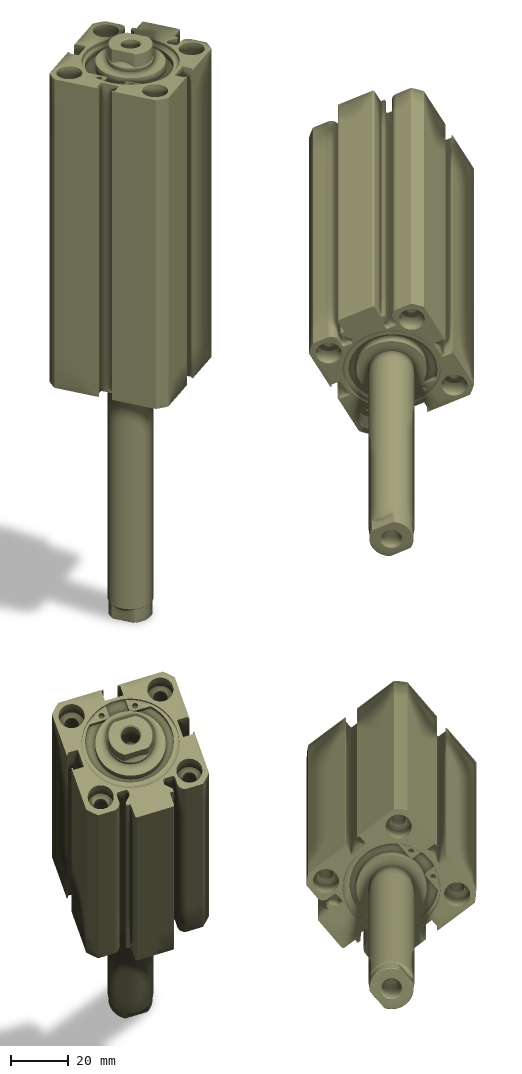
import cadquery as cq
import math


total_length = 227.0
housing_length = 123.0
upper_rod_projection = 7.0
lower_rod_projection = total_length - housing_length - upper_rod_projection

housing_width = 45.0
half_width = housing_width / 2
corner_radius = 29.5
bore_radius = 17.0

slot_floor = 18.2
slot_width = 6.8
slot_mouth = 5.2
slot_lip = 0.5

rail_height = 27.5
rail_width = 14.3
rail_corner_radius = 0.7
hook_width = 17.3
hook_top = 22.0
hook_edge = 1.1
neck_width = 12.7
notch_floor = 16.3
notch_span = 21.3
ear_radius = 2.7
notch_corner_radius = 1.0
selection_margin = 0.2

bolt_spacing = 32.5
bolt_hole_diameter = 5.0
counterbore_diameter = 9.0
counterbore_depth = 7.0

ring_inset = 1.1
ring_thickness = 2.0
ring_radius = 18.0
ring_opening_radius = 15.5
ring_opening_offset = 1.1
ring_gap = 7.3
lug_top = 11.8
lug_half_span = 11.4
lug_clearance_radius = 12.5
lug_hole_spacing = 12.3
lug_hole_drop = 13.6
lug_hole_diameter = 2.0

collar_radius = 12.3
cover_thickness = 13.6

rod_radius = 8.0
rod_end_radius = 7.7
rod_end_length = 5.7
rod_flat_width = 13.0
rod_tip_chamfer = 0.2
shoulder_angle = 45.0
rod_hole_radius = 3.5
rod_hole_mouth_radius = 3.9
rod_hole_depth = 13.6
drill_point_angle = 118.0


def mirrored_to_bottom(body):
    """The matching body at the lower end of the housing."""
    return body.mirror("XY", (0, 0, housing_length / 2))


def cylinder(radius, bottom, top):
    return cq.Workplane("XY").workplane(offset=bottom).circle(radius).extrude(top - bottom)


def make_slot():
    """T-slot tool in the +X side."""
    throat_depth = half_width - slot_lip - slot_floor
    throat = (
        cq.Workplane("XY")
        .center(slot_floor + throat_depth / 2, 0)
        .rect(throat_depth, slot_width)
        .extrude(housing_length)
    )
    mouth_depth = half_width - slot_floor
    mouth = (
        cq.Workplane("XY")
        .center(slot_floor + mouth_depth / 2, 0)
        .rect(mouth_depth, slot_mouth)
        .extrude(housing_length)
    )
    return throat.union(mouth)


def make_rail():
    neck_top = hook_top - hook_edge - (hook_width - neck_width) / 2
    right_side = [
        (neck_width / 2, notch_floor),
        (neck_width / 2, neck_top),
        (hook_width / 2, hook_top - hook_edge),
        (hook_width / 2, hook_top),
        (rail_width / 2, hook_top),
        (rail_width / 2, rail_height),
    ]
    left_side = [(-x, y) for x, y in reversed(right_side)]
    rail = (
        cq.Workplane("XY")
        .polyline(right_side + left_side)
        .close()
        .extrude(housing_length)
    )
    return rail.faces(">Y").edges("|Z").fillet(rail_corner_radius)


def upright_edges_at(y):
    """Selector for the edges along Z of the notched side that lie at the given Y."""
    reach_x = notch_span / 2 + selection_margin
    return cq.selectors.BoxSelector(
        (-reach_x, y - selection_margin, housing_length / 4),
        (reach_x, y + selection_margin, 3 * housing_length / 4),
    )


def make_housing():
    body = cq.Workplane("XY").rect(housing_width, housing_width).extrude(housing_length)
    body = body.intersect(cylinder(corner_radius, 0, housing_length))

    recess_depth = half_width - notch_floor
    recess = (
        cq.Workplane("XY")
        .center(0, notch_floor + recess_depth / 2)
        .rect(notch_span, recess_depth)
        .extrude(housing_length)
    )
    body = body.cut(recess)
    body = body.edges(upright_edges_at(half_width)).fillet(ear_radius)
    body = body.union(make_rail())
    body = body.edges(upright_edges_at(notch_floor)).fillet(notch_corner_radius)

    body = body.cut(cylinder(bore_radius, 0, housing_length))
    groove_top = housing_length - ring_inset
    groove = cylinder(ring_radius, groove_top - ring_thickness, groove_top)
    body = body.cut(groove).cut(mirrored_to_bottom(groove))

    slot = make_slot()
    for angle in (0, 180, 270):
        body = body.cut(slot.rotate((0, 0, 0), (0, 0, 1), angle))

    for x in (-bolt_spacing / 2, bolt_spacing / 2):
        for y in (-bolt_spacing / 2, bolt_spacing / 2):
            hole = cylinder(bolt_hole_diameter / 2, 0, housing_length)
            upper_counterbore = cylinder(
                counterbore_diameter / 2, housing_length - counterbore_depth, housing_length
            )
            hole = hole.union(upper_counterbore).union(mirrored_to_bottom(upper_counterbore))
            body = body.cut(hole.translate((x, y, 0)))
    return body


def make_cover():
    """Rod cover at the upper end, with a collar that stands inside the ring."""
    ring_seat = housing_length - ring_inset - ring_thickness
    cover = cylinder(bore_radius, ring_seat - cover_thickness, ring_seat)
    cover = cover.union(cylinder(collar_radius, ring_seat, housing_length))
    return cover.cut(cylinder(rod_radius, 0, housing_length))


def make_ring():
    """Retaining ring at the upper end, with two drilled lugs beside its gap."""
    ring_top = housing_length - ring_inset
    ring_bottom = ring_top - ring_thickness
    blank = cylinder(ring_radius, ring_bottom, ring_top)
    opening = cylinder(ring_opening_radius, ring_bottom, ring_top).translate((0, -ring_opening_offset, 0))

    lug_height = ring_radius - lug_top
    lugs = (
        cq.Workplane("XY")
        .workplane(offset=ring_bottom)
        .center(0, -lug_top - lug_height / 2)
        .rect(2 * lug_half_span, lug_height)
        .extrude(ring_thickness)
        .intersect(blank)
        .cut(cylinder(lug_clearance_radius, ring_bottom, ring_top))
    )
    gap = (
        cq.Workplane("XY")
        .workplane(offset=ring_bottom)
        .center(0, -ring_radius / 2)
        .rect(ring_gap, ring_radius)
        .extrude(ring_thickness)
    )
    lug_holes = (
        cq.Workplane("XY")
        .workplane(offset=ring_bottom)
        .pushPoints([(-lug_hole_spacing / 2, -lug_hole_drop), (lug_hole_spacing / 2, -lug_hole_drop)])
        .circle(lug_hole_diameter / 2)
        .extrude(ring_thickness)
    )
    return blank.cut(opening).union(lugs).cut(gap).cut(lug_holes)


def make_rod_end():
    """Flatted upper end of the rod, starting at Z = 0, with its conical shoulder."""
    end = cylinder(rod_end_radius, 0, rod_end_length).faces(">Z").chamfer(rod_tip_chamfer)
    end = end.intersect(cq.Workplane("XY").box(2 * rod_radius, rod_flat_width, 2 * rod_end_length))
    tip_radius = rod_flat_width / 2
    shoulder_height = (rod_radius - tip_radius) * math.tan(math.radians(shoulder_angle))
    shoulder = (
        cq.Workplane("XZ")
        .polyline([(0, 0), (rod_radius, 0), (tip_radius, shoulder_height), (0, shoulder_height)])
        .close()
        .revolve(360, (0, 0), (0, 1))
    )
    return end.union(shoulder)


def make_rod_hole():
    """Drilled hole that opens at Z = 0 and points down, with a 45 degree mouth."""
    mouth_depth = rod_hole_mouth_radius - rod_hole_radius
    point_depth = rod_hole_radius / math.tan(math.radians(drill_point_angle / 2))
    return (
        cq.Workplane("XZ")
        .polyline(
            [
                (0, 0),
                (rod_hole_mouth_radius, 0),
                (rod_hole_radius, -mouth_depth),
                (rod_hole_radius, -rod_hole_depth),
                (0, -rod_hole_depth - point_depth),
            ]
        )
        .close()
        .revolve(360, (0, 0), (0, 1))
    )


def make_rod():
    rod_top = housing_length + upper_rod_projection
    rod_bottom = -lower_rod_projection
    rod_middle = (rod_top + rod_bottom) / 2
    upper_shoulder = rod_top - rod_end_length
    rod = cylinder(rod_radius, rod_bottom + rod_end_length, upper_shoulder)

    upper_end = make_rod_end().translate((0, 0, upper_shoulder))
    upper_hole = make_rod_hole().translate((0, 0, rod_top))
    rod = rod.union(upper_end).union(upper_end.mirror("XY", (0, 0, rod_middle)))
    return rod.cut(upper_hole).cut(upper_hole.mirror("XY", (0, 0, rod_middle)))


housing = make_housing()
rod = make_rod()
upper_cover = make_cover()
lower_cover = mirrored_to_bottom(upper_cover)
upper_ring = make_ring()
lower_ring = mirrored_to_bottom(upper_ring)

result = cq.Compound.makeCompound(
    [
        housing.val(),
        rod.val(),
        upper_cover.val(),
        lower_cover.val(),
        upper_ring.val(),
        lower_ring.val(),
    ]
)